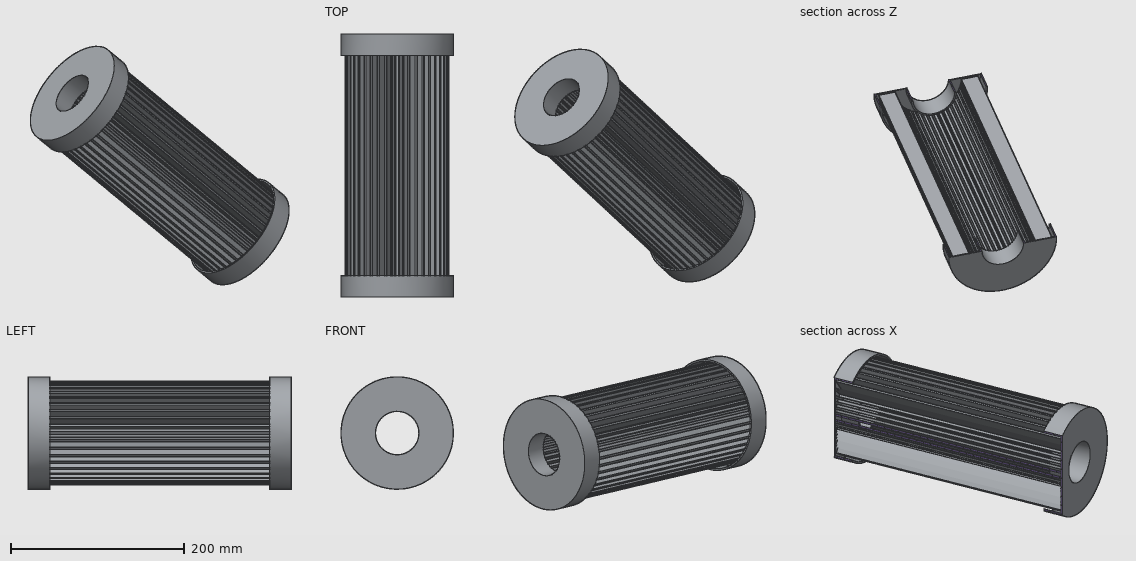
import cadquery as cq
import math

TOTAL_LENGTH = 304.0

CAP_DIAMETER = 130.0
CAP_DEPTH = 25.0
CAP_BORE_DIAMETER = 50.0
CAP_WALL = 2.0
CHANNEL_OUTER_DIAMETER = CAP_DIAMETER - 2 * CAP_WALL
CHANNEL_INNER_DIAMETER = CAP_BORE_DIAMETER + 2 * CAP_WALL

PLEAT_COUNT = 42
PLEAT_TIP_DIAMETER = 120.0
PLEAT_ROOT_DIAMETER = 80.3
PLEAT_WIDTH = 3.0
SHEET_THICKNESS = 0.5
PLEAT_LENGTH = TOTAL_LENGTH - 2 * CAP_WALL
PLEAT_PITCH = 2 * math.pi / PLEAT_COUNT


def ring(outer_diameter, inner_diameter, start, length):
    """Ring about the Y axis that runs from Y = start towards +Y."""
    return (
        cq.Workplane("XZ", origin=(0, start, 0))
        .circle(outer_diameter / 2)
        .circle(inner_diameter / 2)
        .extrude(-length)
    )


def make_front_cap():
    """Cap at the -Y end, with its channel open towards the pleats."""
    front = -TOTAL_LENGTH / 2
    body = ring(CAP_DIAMETER, CAP_BORE_DIAMETER, front, CAP_DEPTH)
    channel = ring(
        CHANNEL_OUTER_DIAMETER,
        CHANNEL_INNER_DIAMETER,
        front + CAP_WALL,
        CAP_DEPTH - CAP_WALL,
    )
    return body.cut(channel)


def fold_outline(inset):
    """Corners of the parallel-sided pleats, moved inwards by inset; the first pleat is centred on +X."""
    tip_reach = PLEAT_TIP_DIAMETER / 2 - inset
    root_radius = PLEAT_ROOT_DIAMETER / 2 - inset
    half_width = PLEAT_WIDTH / 2 - inset

    half_pitch = PLEAT_PITCH / 2
    root_reach = (root_radius - half_width * math.sin(half_pitch)) / math.cos(half_pitch)

    pleat_corners = [
        (root_reach, -half_width),
        (tip_reach, -half_width),
        (tip_reach, half_width),
        (root_reach, half_width),
    ]
    points = []
    for pleat in range(PLEAT_COUNT):
        cosine = math.cos(pleat * PLEAT_PITCH)
        sine = math.sin(pleat * PLEAT_PITCH)
        for along, across in pleat_corners:
            points.append((along * cosine - across * sine, along * sine + across * cosine))
    return points


def make_pleats():
    """One folded sheet of even thickness that closes around the axis and ends on the channel floors."""
    return (
        cq.Workplane("XZ", origin=(0, -PLEAT_LENGTH / 2, 0))
        .polyline(fold_outline(0))
        .close()
        .polyline(fold_outline(SHEET_THICKNESS))
        .close()
        .extrude(-PLEAT_LENGTH)
    )


front_cap = make_front_cap()
rear_cap = front_cap.mirror("XZ")
pleats = make_pleats()

result = cq.Compound.makeCompound([front_cap.val(), rear_cap.val(), pleats.val()])